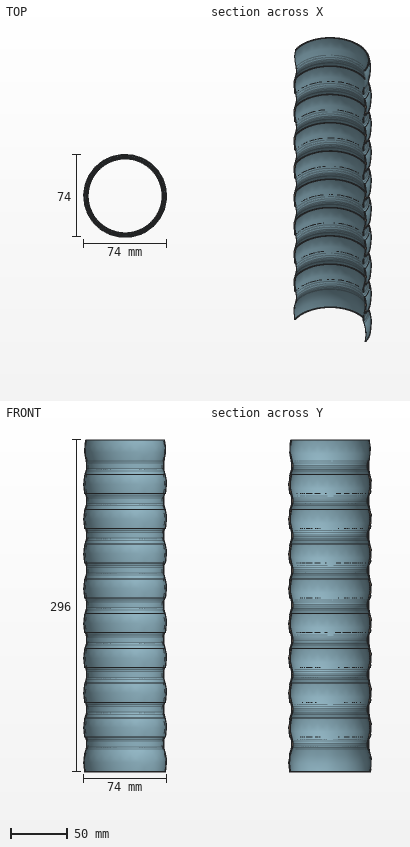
import cadquery as cq
import math

link_count = 9
pitch = 31.0
total_length = 296.0
shell = 0.8
neck_wall = 1.5

socket_radius = 37.0
neck_radius = 34.5
blend_radius = 6.0
bulge_offset = 1.0
joint_height = 8.0
seam_angle = -61.35

ball_radius = socket_radius - shell
link_length = total_length - (link_count - 1) * pitch
ball_height = joint_height + pitch


def bulge_section(bulge_radius, height):
    """Radius of a bulge at a given height from its centre."""
    arc_radius = bulge_radius - bulge_offset
    return bulge_offset + math.sqrt(arc_radius**2 - height**2)


def blend_points(bulge_radius, neck):
    """Bulge-side, middle and neck-side points (radius, height from the bulge centre) of a tangent blend."""
    centre_radius = neck + blend_radius
    reach = centre_radius - bulge_offset
    centre_height = math.sqrt((bulge_radius - bulge_offset + blend_radius) ** 2 - reach**2)
    bulge_side = math.atan2(centre_height, reach)

    def on_blend(angle):
        radius = centre_radius - blend_radius * math.cos(angle)
        height = centre_height - blend_radius * math.sin(angle)
        return radius, height

    return on_blend(bulge_side), on_blend(bulge_side / 2), on_blend(0)


def revolved_link(socket, ball, neck):
    """Solid of revolution with a socket bulge below, a neck and a ball bulge on top."""
    lower = [(r, joint_height + h) for r, h in blend_points(socket, neck)]
    upper = [(r, ball_height - h) for r, h in blend_points(ball, neck)]
    lower_rim = (bulge_section(socket, joint_height), 0)
    upper_rim = (bulge_section(ball, link_length - ball_height), link_length)
    return (
        cq.Workplane("XZ")
        .lineTo(*lower_rim)
        .threePointArc((socket, joint_height), lower[0])
        .threePointArc(lower[1], lower[2])
        .lineTo(*upper[2])
        .threePointArc(upper[1], upper[0])
        .threePointArc((ball, ball_height), upper_rim)
        .lineTo(0, link_length)
        .close()
        .revolve(360, (0, 0, 0), (0, 1, 0))
    )


def make_link():
    """One hollow link standing on its socket rim at Z = 0."""
    body = revolved_link(socket_radius, ball_radius, neck_radius)
    cavity = revolved_link(socket_radius - shell, ball_radius - shell, neck_radius - neck_wall)
    return body.cut(cavity)


def make_hose():
    """Stack of links, each one seated in the link above it."""
    link = make_link()
    hose = link
    for index in range(1, link_count):
        hose = hose.union(link.translate((0, 0, index * pitch)))
    return hose.rotate((0, 0, 0), (0, 0, 1), seam_angle)


result = make_hose()